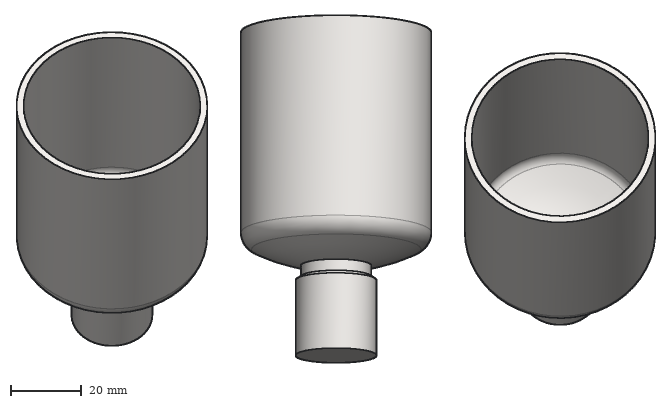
import cadquery as cq
import math

total_height = 93.0
cup_diameter = 54.0
bore_diameter = 50.0
knuckle_top_z = 35.4
stem_diameter = 23.0
neck_diameter = 20.0
stem_shoulder_z = 21.7
stem_chamfer_height = 1.0

cup_radius = cup_diameter / 2
wall = (cup_diameter - bore_diameter) / 2
crown_radius = cup_diameter
knuckle_radius = cup_diameter / 10
knuckle_center_r = cup_radius - knuckle_radius
tangent_angle = math.asin(knuckle_center_r / (crown_radius - knuckle_radius))
crown_center_z = knuckle_top_z + (crown_radius - knuckle_radius) * math.cos(tangent_angle)


def knuckle_point(radius, angle):
    """Point on a knuckle arc, with the angle measured from straight down."""
    return (
        knuckle_center_r + radius * math.sin(angle),
        knuckle_top_z - radius * math.cos(angle),
    )


def crown_point(radius, angle):
    """Point on a crown arc, with the angle measured from straight down."""
    return (radius * math.sin(angle), crown_center_z - radius * math.cos(angle))


def dished_solid(inset):
    """Cup volume with its wall and dished bottom offset inward by the inset."""
    knuckle = knuckle_radius - inset
    crown = crown_radius - inset
    knuckle_middle = (tangent_angle + math.pi / 2) / 2
    return (
        cq.Workplane("XZ")
        .moveTo(*crown_point(crown, 0))
        .threePointArc(crown_point(crown, tangent_angle / 2), crown_point(crown, tangent_angle))
        .threePointArc(knuckle_point(knuckle, knuckle_middle), (cup_radius - inset, knuckle_top_z))
        .lineTo(cup_radius - inset, total_height)
        .lineTo(0, total_height)
        .close()
        .revolve(360, (0, 0, 0), (0, 1, 0))
    )


def stem_solid():
    """Stem with a chamfered shoulder and a narrower neck reaching into the cup floor."""
    neck_top_z = crown_center_z - crown_radius + wall
    neck_z = stem_shoulder_z + stem_chamfer_height
    return (
        cq.Workplane("XZ")
        .polyline([
            (0, 0),
            (stem_diameter / 2, 0),
            (stem_diameter / 2, stem_shoulder_z),
            (neck_diameter / 2, neck_z),
            (neck_diameter / 2, neck_top_z),
            (0, neck_top_z),
        ])
        .close()
        .revolve(360, (0, 0, 0), (0, 1, 0))
    )


result = dished_solid(0).union(stem_solid()).cut(dished_solid(wall))